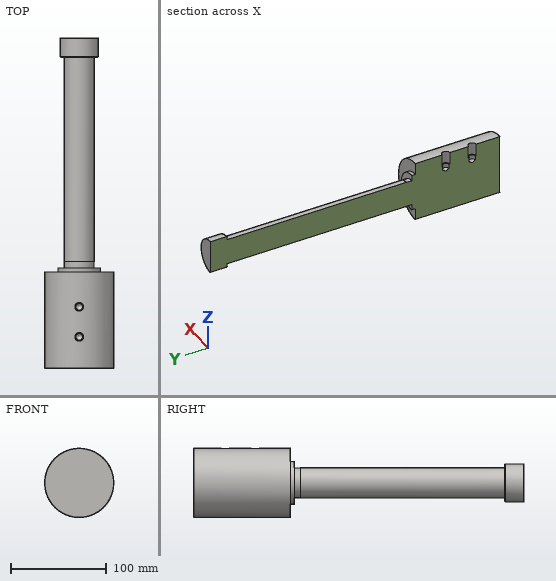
import cadquery as cq
import math

total_length = 347.0

body_diameter = 73.0
body_length = 101.5
body_edge_chamfer = 0.5

flange_diameter = 45.0
flange_length = 4.0
neck_diameter = 31.5
neck_length = 6.5

shaft_diameter = 32.0
head_diameter = 40.3
head_length = 20.5
head_edge_chamfer = 1.0

hole_diameter = 9.0
hole_depth = 15.0
pilot_diameter = 7.0
pilot_depth = 20.0
drill_point_angle = 118
first_hole_from_end = 33.3
hole_spacing = 31.5
hole_count = 2

body_start = -total_length / 2
body_end = body_start + body_length
flange_end = body_end + flange_length
neck_end = flange_end + neck_length
head_end = total_length / 2
head_start = head_end - head_length


def cylinder_along_y(diameter, start, end):
    """Solid cylinder on the Y axis between two stations."""
    return cq.Workplane("XZ", origin=(0, start, 0)).circle(diameter / 2).extrude(start - end)


def make_body():
    body = cylinder_along_y(body_diameter, body_start, body_end)
    return body.faces("<Y").edges().chamfer(body_edge_chamfer)


def make_stem():
    """Flange, neck and shaft, up to the underside of the head."""
    flange = cylinder_along_y(flange_diameter, body_end, flange_end)
    neck = cylinder_along_y(neck_diameter, flange_end, neck_end)
    shaft = cylinder_along_y(shaft_diameter, neck_end, head_start)
    return flange.union(neck).union(shaft)


def make_head():
    head = cylinder_along_y(head_diameter, head_start, head_end)
    return head.faces("<Y").edges().chamfer(head_edge_chamfer)


def screw_hole(station):
    """Blind vertical hole stepping down to a narrower pilot with a drill-point bottom."""
    top = body_diameter / 2
    bore_radius = hole_diameter / 2
    pilot_radius = pilot_diameter / 2
    point_depth = pilot_radius / math.tan(math.radians(drill_point_angle / 2))
    profile = [
        (0, top),
        (bore_radius, top),
        (bore_radius, top - hole_depth),
        (pilot_radius, top - hole_depth),
        (pilot_radius, top - pilot_depth),
        (0, top - pilot_depth - point_depth),
    ]
    return (
        cq.Workplane("XZ", origin=(0, station, 0))
        .polyline(profile)
        .close()
        .revolve(360, (0, 0, 0), (0, 1, 0))
    )


result = make_body().union(make_stem()).union(make_head())
for index in range(hole_count):
    result = result.cut(screw_hole(body_start + first_hole_from_end + index * hole_spacing))